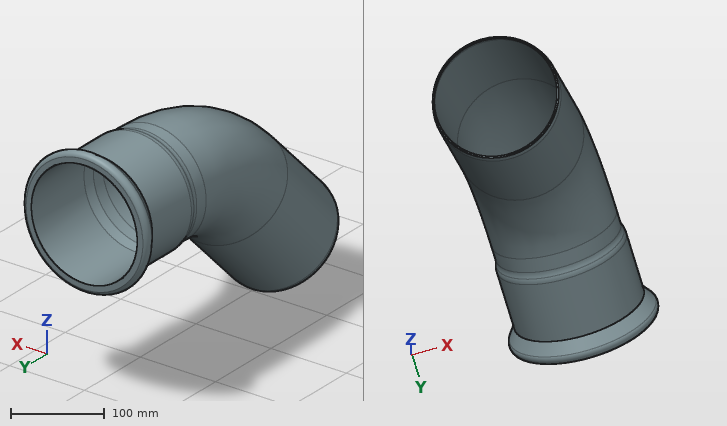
import cadquery as cq
import math

tube_outer_radius = 139.8 / 2
tube_bore_radius = 135.8 / 2
bend_angle = 45
bend_radius = 190.0
spigot_length = 132.0
tip_length = 6.0
tip_radius = 69.0
tip_inset = tube_outer_radius - tip_radius

mouth_radius = 77.7
bead_radius = 166.2 / 2
bead_crest = 7.0
bead_arc_end = 11.2
bead_arc_end_radius = 81.7
bead_end = 24.5
socket_outer_radius = 145.0 / 2
socket_bore_radius = 141.0 / 2
socket_end = 94.0
step_middle = 100.0
step_middle_radius = 142.5 / 2
step_end = 107.5
bend_start = 124.0

angle = math.radians(bend_angle)
bend_run = bend_radius * math.sin(angle)
bend_drop = bend_radius * (1 - math.cos(angle))
spigot_run = spigot_length * math.cos(angle)
spigot_drop = spigot_length * math.sin(angle)
mouth_y = bend_start + bend_run + spigot_run + tip_radius * math.sin(angle)
axis_z = bend_drop + spigot_drop + tip_radius * math.cos(angle)
bend_y = mouth_y - bend_start


def revolve_about_socket_axis(profile):
    """Revolve a (radius, Y) profile and place it on the socket axis."""
    axis_start = (0, 0, 0)
    axis_end = (0, 1, 0)
    return profile.revolve(360, axis_start, axis_end).translate((0, 0, axis_z))


def make_socket_body():
    """Socket, rolled bead and S-shaped step down to the tube."""
    profile = (
        cq.Workplane("XY")
        .moveTo(0, mouth_y)
        .lineTo(mouth_radius, mouth_y)
        .threePointArc((bead_radius, mouth_y - bead_crest), (bead_arc_end_radius, mouth_y - bead_arc_end))
        .lineTo(socket_outer_radius, mouth_y - bead_end)
        .lineTo(socket_outer_radius, mouth_y - socket_end)
        .tangentArcPoint((step_middle_radius, mouth_y - step_middle), relative=False)
        .tangentArcPoint((tube_outer_radius, mouth_y - step_end), relative=False)
        .lineTo(tube_outer_radius, bend_y)
        .lineTo(0, bend_y)
        .close()
    )
    return revolve_about_socket_axis(profile)


def make_socket_bore():
    """Insertion bore that narrows to the tube bore at the step."""
    profile = (
        cq.Workplane("XY")
        .moveTo(0, mouth_y)
        .lineTo(socket_bore_radius, mouth_y)
        .lineTo(socket_bore_radius, mouth_y - socket_end)
        .lineTo(tube_bore_radius, mouth_y - step_end)
        .lineTo(tube_bore_radius, bend_y)
        .lineTo(0, bend_y)
        .close()
    )
    return revolve_about_socket_axis(profile)


def make_bend(radius):
    """Solid toroidal elbow turning from -Y down toward -Z."""
    section_plane = cq.Plane(origin=(0, bend_y, axis_z), xDir=(1, 0, 0), normal=(0, -1, 0))
    return (
        cq.Workplane(section_plane)
        .circle(radius)
        .revolve(bend_angle, (0, -bend_radius, 0), (1, -bend_radius, 0))
    )


def make_spigot(radius):
    """Cylinder running from the lower end of the bend, drawn in slightly at its tip."""
    spigot_plane = cq.Plane(
        origin=(0, bend_y - bend_run, axis_z - bend_drop),
        xDir=(1, 0, 0),
        normal=(0, -math.cos(angle), -math.sin(angle)),
    )
    straight = cq.Workplane(spigot_plane).circle(radius).extrude(spigot_length - tip_length)
    tip = (
        cq.Workplane(spigot_plane)
        .workplane(offset=spigot_length - tip_length)
        .circle(radius)
        .workplane(offset=tip_length)
        .circle(radius - tip_inset)
        .loft(ruled=True)
    )
    return straight.union(tip)


body = make_socket_body().union(make_bend(tube_outer_radius)).union(make_spigot(tube_outer_radius))
bore = make_socket_bore().union(make_bend(tube_bore_radius)).union(make_spigot(tube_bore_radius))
result = body.cut(bore).solids()